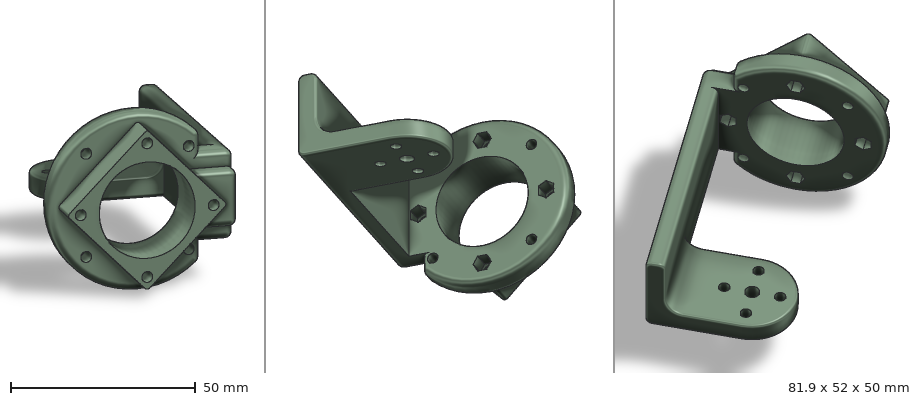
import cadquery as cq
import math


length = 81.9
edge_radius = 2.0
small_radius = 1.0

disc_radius = 25.0
disc_thickness = 7.0
disc_flat_y = 17.5
bore_diameter = 27.0

boss_side = 31.95
boss_depth = 9.4

strap_height = 25.0
strap_thickness = 5.5
strap_outer_y = 26.95

arm_thickness = 6.0
arm_inner_radius = 5.0
arm_hole_pitch_radius = 7.8
arm_center_diameter = 4.0

rib_height = 16.05
rib_depth = 4.0

screw_diameter = 3.0
nut_hole_pitch_radius = 18.75
corner_hole_pitch_radius = 20.5
nut_across_flats = 4.5
nut_depth = 5.0

boss_x = length - boss_depth
disc_x = boss_x - disc_thickness
half_height = strap_height / 2
arm_radius = half_height
strap_inner_y = strap_outer_y - strap_thickness
arm_top_z = arm_thickness - half_height


def box(x_range, y_range, z_range):
    """Box spanning the given ranges."""
    spans = (x_range, y_range, z_range)
    size = [high - low for low, high in spans]
    corner = tuple(low for low, high in spans)
    return cq.Workplane("XY").box(*size, centered=False).translate(corner)


def facing_x(x):
    """Workplane facing +X at x, with Y and Z as its local axes."""
    return cq.Workplane("YZ", origin=(x, 0, 0))


def round_long_edges(part):
    """Round the strap's two top edges and its outer bottom edge."""
    return part.edges("|X").edges(">Z or >Y").fillet(edge_radius)


def make_strap_and_arm():
    """L-shaped bracket: tall strap, rounded inner corner, round-tipped arm."""
    arm = (
        facing_x(0)
        .moveTo(-arm_radius, -half_height)
        .lineTo(strap_outer_y, -half_height)
        .lineTo(strap_outer_y, half_height)
        .lineTo(strap_inner_y, half_height)
        .lineTo(strap_inner_y, arm_top_z + arm_inner_radius)
        .radiusArc((strap_inner_y - arm_inner_radius, arm_top_z), arm_inner_radius)
        .lineTo(-arm_radius, arm_top_z)
        .close()
        .extrude(2 * arm_radius)
    )
    plan = (
        cq.Workplane("XY", origin=(arm_radius, 0, -half_height))
        .circle(arm_radius)
        .extrude(strap_height)
        .union(box((0, 2 * arm_radius), (0, strap_outer_y), (-half_height, half_height)))
    )
    arm = round_long_edges(arm.intersect(plan))
    side_edges = arm.faces("<X or >X").edges().filter(lambda edge: edge.Center().y > small_radius)
    tip_edges = arm.edges("%CIRCLE").filter(lambda edge: edge.Center().y < 0)
    arm = arm.newObject(side_edges.vals() + tip_edges.vals()).fillet(small_radius)

    strap = box((arm_radius, disc_x), (strap_inner_y, strap_outer_y), (-half_height, half_height))
    return arm.union(round_long_edges(strap))


def make_disc():
    """Round-edged disc with a flat on the strap side."""
    reach = 2 * disc_radius
    disc = facing_x(disc_x).circle(disc_radius).extrude(disc_thickness)
    disc = disc.intersect(box((disc_x, boss_x), (-reach, disc_flat_y), (-reach, reach)))
    disc = disc.edges("|X").edges(">Y").fillet(edge_radius)
    return disc.faces("<X or >X").edges().fillet(edge_radius)


def make_block(x_end, height):
    """Block ending flush with the strap, rounded on its +Y and +X ends."""
    block = box((disc_x, x_end), (bore_diameter / 2, strap_outer_y), (-height / 2, height / 2))
    outer_edges = block.edges("(>Y and |X) or (>X and |Y) or (>X and >Y)")
    return outer_edges.fillet(edge_radius)


def make_boss():
    """Square boss turned 45 degrees with rounded corners."""
    return (
        facing_x(boss_x)
        .transformed(rotate=(0, 0, 45))
        .rect(boss_side, boss_side)
        .extrude(boss_depth)
        .edges("|X")
        .fillet(small_radius)
    )


def around(count, radius, start_angle):
    """Points evenly spaced on a circle."""
    angles = [math.radians(start_angle + 360 * i / count) for i in range(count)]
    return [(radius * math.cos(a), radius * math.sin(a)) for a in angles]


def drill_disc(part):
    """Bore, eight through screw holes and four hexagonal nut pockets."""
    screw_places = around(4, nut_hole_pitch_radius, 0) + around(4, corner_hole_pitch_radius, 45)
    front = facing_x(disc_x)
    bore = front.circle(bore_diameter / 2).extrude(length - disc_x)
    screws = front.pushPoints(screw_places).circle(screw_diameter / 2).extrude(length - disc_x)
    part = part.cut(bore).cut(screws)
    nut_across_corners = nut_across_flats / math.cos(math.pi / 6)
    nut = (
        front.center(nut_hole_pitch_radius, 0)
        .transformed(rotate=(0, 0, 30))
        .polygon(6, nut_across_corners)
        .extrude(nut_depth)
    )
    for quarter in range(4):
        part = part.cut(nut.rotate((0, 0, 0), (1, 0, 0), 90 * quarter))
    return part


def drill_arm(part):
    """Central hole and a ring of four screw holes through the arm."""
    base = cq.Workplane("XY", origin=(arm_radius, 0, -half_height))
    center = base.circle(arm_center_diameter / 2).extrude(arm_thickness)
    ring = (
        base.pushPoints(around(4, arm_hole_pitch_radius, 0))
        .circle(screw_diameter / 2)
        .extrude(arm_thickness)
    )
    return part.cut(center).cut(ring)


disc = make_disc()
strap_end = make_block(boss_x, strap_height)
rib = make_block(boss_x + rib_depth, rib_height)

body = make_strap_and_arm().union(disc).union(strap_end).union(make_boss()).union(rib)
result = drill_arm(drill_disc(body))